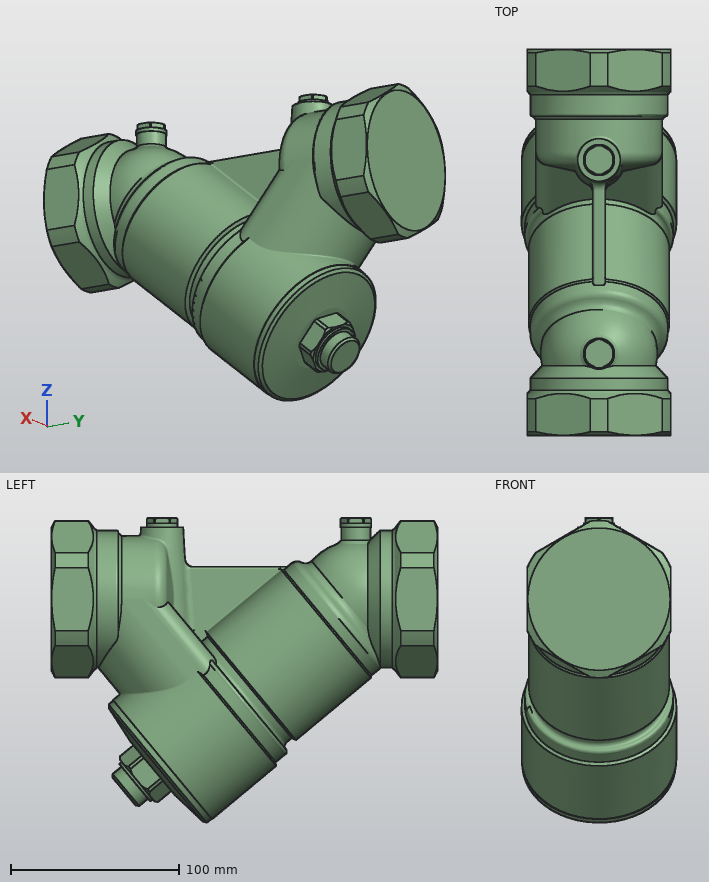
import cadquery as cq
import math

length = 230.0
half_length = length / 2

nut_flats = 85.5
nut_corner_radius = 46.7
nut_face_radius = 42.3
nut_width = 25.5
nut_outer_chamfer = 2.3
nut_inner_chamfer = 3.5
nut_inner_y = half_length - nut_width
nut_relief = 1.5

inlet_collar_radius = 41.0
inlet_collar_end = 75.0
collar_blend = 1.4
inlet_radius = 37.7
inlet_dome_start = 53.5
dome_blend = 7.5
dome_rim_radius = 31.3
dome_tip = 39.0

outlet_y = -66.2
outlet_collar_radius = 41.0
outlet_collar_end = -80.7
outlet_neck_radius = 33.4
outlet_neck_y = -72.7
ball_radius = 34.7

tilt = 39.7
neck_radius = 34.3
neck_bottom = -5.8
shoulder_mid_radius = 37.7
shoulder_mid = -11.0
shoulder_radius = 41.0
shoulder_bottom = -15.2
barrel_radius = 41.9
barrel_top = -23.0
barrel_bottom = -81.0
waist_radius = 39.3
waist_bottom = -86.5
ring_mid_radius = 42.0
ring_mid = -89.0
cap_ring_radius = 44.2
cap_ring_top = -91.5
cap_diameter = 92.2
cap_radius = cap_diameter / 2
cap_top = -99.8
cap_rim_top = -149.5
cap_rim_radius = 45.8
cap_rim_bottom = -153.2
cap_bottom = -154.5
cap_face_radius = 43.7
cap_plate_radius = 20.7
cap_plate_bottom = -157.3
edge_break = 1.2

duct_centre = -106.3
duct_radius = inlet_radius
duct_front = -87.0
duct_corner = 10.4
duct_reach = 161.0
duct_back_limit = 88.5
duct_cap_blend = 1.0

spindle_flats = 31.7
spindle_corner_radius = 17.7
spindle_hex_bottom = -169.0
spindle_chamfer = 1.4
washer_radius = 14.5
washer_bottom = -171.0
stem_radius = 12.5
stem_bottom = -179.2
stem_chamfer = 1.4

plug_top = 48.3
plug_seat = 42.8
plug_flats = 16.3
plug_radius = 9.2
plug_collar = 2.3
plug_chamfer = 0.7
inlet_plug_y = 49.0
inlet_boss_radius = 12.6
inlet_boss_foot_radius = 16.3
inlet_boss_foot = -18.5
inlet_boss_blend = 1.5
outlet_boss_radius = 8.7
outlet_boss_foot_radius = 12.6
outlet_boss_foot = 31.7
outlet_boss_cone = 3.2

rib_top = 19.3
rib_width = 7.4
rib_edge = 1.5
rib_end_y = -25.8
rib_buried_y = 46.0
rib_depth = -32.2
rib_boss_blend = 4.5
rib_root_blend = 1.4

seam_margin = 2.3

tilt_angle = math.radians(tilt)
housing_up = (0, -math.cos(tilt_angle), math.sin(tilt_angle))
housing_across = (0, math.sin(tilt_angle), math.cos(tilt_angle))
across_x = (1, 0, 0)
port_plane = cq.Plane((0, 0, 0), across_x, (0, 1, 0))
housing_plane = cq.Plane((0, outlet_y, 0), across_x, housing_up)
duct_plane = cq.Plane((0, outlet_y, 0), across_x, housing_across)


def spun(outline):
    """Revolve a sketched half outline in XZ about Z."""
    return outline.close().revolve(360, (0, 0), (0, 1))


def turned(points):
    """Revolve a half outline of (radius, height) points about Z."""
    return spun(cq.Workplane("XZ").polyline(points))


def placed(body, plane):
    """Move a body built about Z so that Z lies along the plane's normal."""
    return cq.Workplane(body.val().moved(cq.Location(plane)))


def hexagon(flats, bottom, top):
    """Hexagonal prism along Z with flats on +X and -X."""
    prism = cq.Workplane("XY").workplane(offset=bottom)
    prism = prism.polygon(6, 2 * flats / math.sqrt(3)).extrude(top - bottom)
    return prism.rotate((0, 0, 0), (0, 0, 1), 30)


def end_nut():
    envelope = turned([
        (0, nut_inner_y),
        (nut_face_radius, nut_inner_y),
        (nut_corner_radius, nut_inner_y + nut_inner_chamfer),
        (nut_corner_radius, half_length - nut_outer_chamfer),
        (nut_face_radius, half_length),
        (0, half_length),
    ])
    return placed(hexagon(nut_flats, nut_inner_y, half_length).intersect(envelope), port_plane)


def inlet_body():
    dome_rim_y = inlet_dome_start - dome_blend
    collar_edge = inlet_collar_radius - collar_blend
    foot_y = inlet_collar_end - (collar_edge - inlet_radius)
    outline = (
        cq.Workplane("XZ")
        .moveTo(0, nut_inner_y)
        .lineTo(nut_face_radius, nut_inner_y)
        .lineTo(inlet_collar_radius, nut_inner_y - nut_relief)
        .lineTo(inlet_collar_radius, inlet_collar_end + collar_blend)
        .tangentArcPoint((collar_edge, inlet_collar_end), relative=False)
        .lineTo(inlet_radius, foot_y)
        .lineTo(inlet_radius, inlet_dome_start)
        .tangentArcPoint((dome_rim_radius, dome_rim_y), relative=False)
        .lineTo(0, dome_tip)
    )
    return placed(spun(outline), port_plane)


def outlet_body():
    neck = turned([
        (0, -nut_inner_y),
        (nut_face_radius, -nut_inner_y),
        (outlet_collar_radius, -nut_inner_y + nut_relief),
        (outlet_collar_radius, outlet_collar_end),
        (outlet_neck_radius, outlet_neck_y),
        (0, outlet_neck_y),
    ])
    ball = cq.Workplane("XY").sphere(ball_radius).translate((0, outlet_y, 0))
    return placed(neck, port_plane).union(ball)


def housing():
    neck_top = math.sqrt(ball_radius**2 - neck_radius**2)
    outline = (
        cq.Workplane("XZ")
        .moveTo(0, neck_top)
        .lineTo(neck_radius, neck_top)
        .lineTo(neck_radius, neck_bottom)
        .tangentArcPoint((shoulder_mid_radius, shoulder_mid), relative=False)
        .tangentArcPoint((shoulder_radius, shoulder_bottom), relative=False)
        .lineTo(shoulder_radius, barrel_top + edge_break)
        .lineTo(barrel_radius, barrel_top)
        .lineTo(barrel_radius, barrel_bottom)
        .lineTo(waist_radius, barrel_bottom - edge_break)
        .lineTo(waist_radius, waist_bottom)
        .tangentArcPoint((ring_mid_radius, ring_mid), relative=False)
        .tangentArcPoint((cap_ring_radius, cap_ring_top), relative=False)
        .lineTo(cap_ring_radius, cap_top + edge_break)
        .lineTo(cap_radius, cap_top)
        .lineTo(cap_radius, cap_rim_top)
        .lineTo(cap_rim_radius, cap_rim_top)
        .lineTo(cap_rim_radius, cap_rim_bottom)
        .lineTo(cap_face_radius, cap_bottom)
        .lineTo(cap_plate_radius, cap_plate_bottom)
        .lineTo(0, cap_plate_bottom)
    )
    return placed(spun(outline), housing_plane)


def duct():
    """D-shaped duct with a round back, running square to the housing axis."""
    r = duct_radius
    back = -duct_centre
    front = -duct_front
    section = (
        cq.Workplane(duct_plane)
        .moveTo(-r, back)
        .threePointArc((0, back + r), (r, back))
        .lineTo(r, front + duct_corner)
        .tangentArcPoint((r - duct_corner, front), relative=False)
        .lineTo(duct_corner - r, front)
        .tangentArcPoint((-r, front + duct_corner), relative=False)
        .close()
    )
    keep = cq.Workplane("XY").box(length, length, length)
    keep = keep.translate((0, duct_back_limit - half_length, -half_length))
    return section.extrude(duct_reach).intersect(keep)


def spindle():
    envelope = turned([
        (0, cap_plate_bottom),
        (spindle_corner_radius, cap_plate_bottom),
        (spindle_corner_radius, spindle_hex_bottom + spindle_chamfer),
        (spindle_corner_radius - spindle_chamfer, spindle_hex_bottom),
        (0, spindle_hex_bottom),
    ])
    nut = hexagon(spindle_flats, spindle_hex_bottom, cap_plate_bottom).intersect(envelope)
    stem = turned([
        (0, spindle_hex_bottom),
        (washer_radius, spindle_hex_bottom),
        (washer_radius, washer_bottom),
        (stem_radius, washer_bottom),
        (stem_radius, stem_bottom + stem_chamfer),
        (stem_radius - stem_chamfer, stem_bottom),
        (0, stem_bottom),
    ])
    return placed(nut.union(stem), housing_plane)


def plug(y):
    envelope = turned([
        (0, plug_seat),
        (plug_radius, plug_seat),
        (plug_radius, plug_top - plug_chamfer),
        (plug_radius - plug_chamfer, plug_top),
        (0, plug_top),
    ])
    head = hexagon(plug_flats, plug_seat, plug_top).intersect(envelope)
    collar = cq.Workplane("XY").workplane(offset=plug_seat).circle(plug_radius).extrude(plug_collar)
    return head.union(collar).translate((0, y, 0))


def outlet_boss():
    return turned([
        (0, outlet_boss_foot),
        (outlet_boss_foot_radius, outlet_boss_foot),
        (outlet_boss_radius, outlet_boss_foot + outlet_boss_cone),
        (outlet_boss_radius, plug_seat),
        (0, plug_seat),
    ]).translate((0, outlet_y, 0))


def inlet_boss():
    return turned([
        (0, inlet_boss_foot),
        (inlet_boss_foot_radius, inlet_boss_foot),
        (inlet_boss_radius, plug_seat),
        (0, plug_seat),
    ]).translate((0, inlet_plug_y, 0))


def boss_and_rib():
    """Inlet boss with the flat rib that runs from it down onto the barrel."""
    outline = [
        (rib_buried_y, rib_top),
        (rib_end_y, rib_top),
        (rib_end_y, 0),
        (rib_buried_y / 2, rib_depth),
        (rib_buried_y, inlet_boss_foot),
    ]
    plate = cq.Workplane("YZ").polyline(outline).close().extrude(rib_width / 2, both=True)
    plate = plate.faces(">Z").edges("|Y").fillet(rib_edge)
    joined = inlet_boss().union(plate)
    boss_front = inlet_plug_y - inlet_boss_radius
    meeting = cq.selectors.BoxSelector(
        (-rib_width, boss_front - rib_boss_blend, inlet_boss_foot + seam_margin),
        (rib_width, boss_front + seam_margin, rib_top + seam_margin),
    )
    return joined.edges(meeting).fillet(rib_boss_blend)


def rib_root():
    """Concave flare on both sides of the rib where it meets the barrel."""
    half = rib_width / 2
    base = math.sqrt(barrel_radius**2 - (half + rib_root_blend) ** 2)
    top = base + rib_root_blend
    bulge = rib_root_blend * (1 - math.sqrt(0.5))
    section = (
        cq.Workplane("XY")
        .workplane(offset=barrel_bottom)
        .moveTo(-half - rib_root_blend, waist_radius)
        .lineTo(-half - rib_root_blend, base)
        .threePointArc((-half - bulge, base + bulge), (-half, top))
        .lineTo(half, top)
        .threePointArc((half + bulge, base + bulge), (half + rib_root_blend, base))
        .lineTo(half + rib_root_blend, waist_radius)
        .close()
    )
    return placed(section.extrude(barrel_top - barrel_bottom), housing_plane)


def blended_inlet():
    """Inlet body with its boss, blended where the boss leaves the body."""
    joined = inlet_body().union(inlet_boss())
    seam = cq.selectors.BoxSelector(
        (-inlet_boss_foot_radius, inlet_plug_y - inlet_boss_radius, seam_margin),
        (inlet_boss_foot_radius, inlet_plug_y + inlet_boss_radius, inlet_radius),
    )
    return joined.edges(seam).fillet(inlet_boss_blend)


def blended_housing():
    """Housing with the duct, blended along the curve around the duct's back."""
    joined = housing().union(duct())
    seam = cq.selectors.BoxSelector(
        (-duct_radius, inlet_dome_start, -2 * duct_radius),
        (duct_radius, inlet_collar_end, -duct_radius),
    )
    return joined.edges(seam).fillet(duct_cap_blend)


result = blended_inlet().union(outlet_body())
inlet_nut = end_nut()
outlet_nut = inlet_nut.mirror("XZ")
parts = [inlet_nut, outlet_nut, blended_housing(), spindle(), boss_and_rib(), rib_root(), outlet_boss()]
parts += [plug(y) for y in (inlet_plug_y, outlet_y)]
for part in parts:
    result = result.union(part)